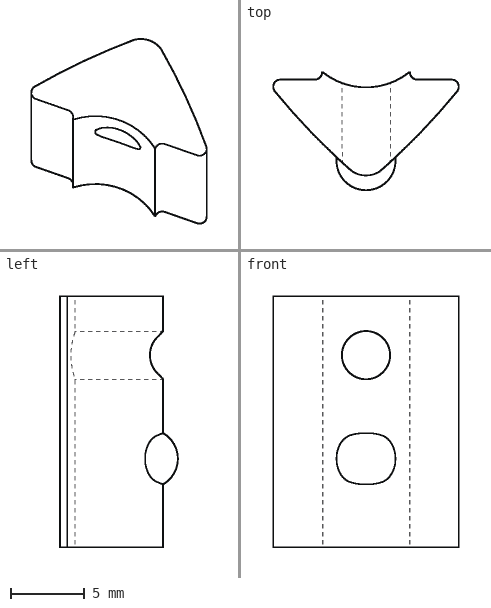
import cadquery as cq
import math

height = 17.0
depth = 7.99
width = 12.56
nose_y = -6.5

nose_half_chord = 0.97
nose_radius = 1.68
flank_bulge = 0.15

corner_radius = 0.5
corner_end_angle = math.radians(-43)
corner_back_angle = math.radians(90)

lip_height = 0.5
lip_inner_x = 2.92
lip_outer_x = 2.98
recess_floor_y = -0.53

hole_diameter = 3.25
hole_z = 13.0
ball_radius = 2.0
ball_z = 6.0
ball_front_y = lip_height - depth


def mirror(point):
    """Reflect a profile point across the YZ plane."""
    return (-point[0], point[1])


def corner_point(angle):
    """Point at the given angle on the right-hand corner arc."""
    return (
        width / 2 - corner_radius + corner_radius * math.cos(angle),
        -corner_radius + corner_radius * math.sin(angle),
    )


def make_body():
    nose_tip = (0, nose_y)
    nose_sag = nose_radius - math.sqrt(nose_radius**2 - nose_half_chord**2)
    nose_end = (nose_half_chord, nose_y + nose_sag)

    corner_start = corner_point(corner_end_angle)
    corner_middle = corner_point((corner_end_angle + corner_back_angle) / 2)
    corner_back = corner_point(corner_back_angle)

    run = corner_start[0] - nose_end[0]
    rise = corner_start[1] - nose_end[1]
    chord = math.hypot(run, rise)
    flank_middle = (
        (nose_end[0] + corner_start[0]) / 2 + flank_bulge * rise / chord,
        (nose_end[1] + corner_start[1]) / 2 - flank_bulge * run / chord,
    )

    fillet_foot = (lip_outer_x + lip_height, 0)
    fillet_offset = lip_height * math.sqrt(0.5)
    fillet_middle = (fillet_foot[0] - fillet_offset, lip_height - fillet_offset)
    lip_outer = (lip_outer_x, lip_height)
    lip_inner = (lip_inner_x, lip_height)

    return (
        cq.Workplane("XY")
        .moveTo(*mirror(nose_end))
        .threePointArc(nose_tip, nose_end)
        .threePointArc(flank_middle, corner_start)
        .threePointArc(corner_middle, corner_back)
        .lineTo(*fillet_foot)
        .threePointArc(fillet_middle, lip_outer)
        .lineTo(*lip_inner)
        .threePointArc((0, recess_floor_y), mirror(lip_inner))
        .lineTo(*mirror(lip_outer))
        .threePointArc(mirror(fillet_middle), mirror(fillet_foot))
        .lineTo(*mirror(corner_back))
        .threePointArc(mirror(corner_middle), mirror(corner_start))
        .threePointArc(mirror(flank_middle), mirror(nose_end))
        .close()
        .extrude(height)
    )


def make_cross_hole():
    return (
        cq.Workplane("XZ")
        .center(0, hole_z)
        .circle(hole_diameter / 2)
        .extrude(height, both=True)
    )


def make_ball():
    ball_center = (0, ball_front_y + ball_radius, ball_z)
    return cq.Workplane("XY").sphere(ball_radius).translate(ball_center)


result = make_body().cut(make_cross_hole()).union(make_ball())